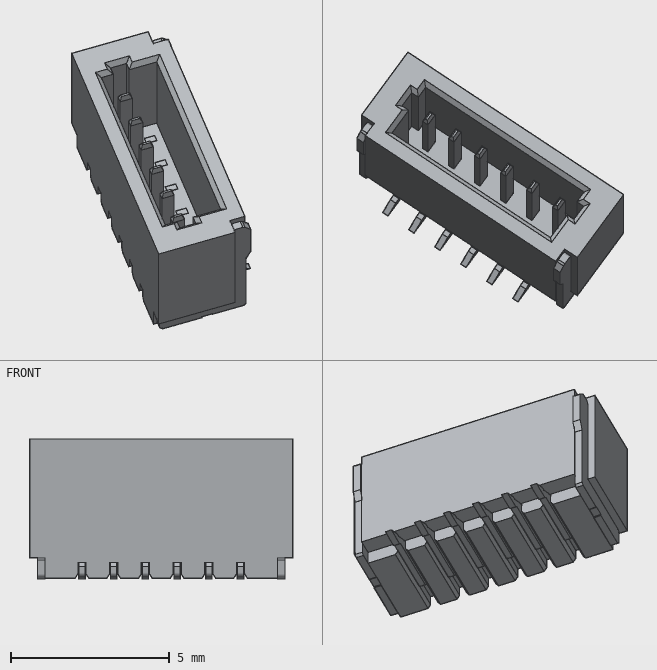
import cadquery as cq
import math

EIGHTH_TURN_RATIO = math.tan(math.pi / 8)

length = 8.3
height = 4.42
wing_depth = 2.56
back_y = 3.055
base_z = 0.025
core_half_length = 3.66
wing_base_z = 0.67
back_wall_base_z = 0.52

cavity_half_length = 3.05
cavity_front_y = 0.61
cavity_back_y = 2.46
cavity_floor_z = 1.0
key_half_length = 3.3
key_front_y = 1.005
key_back_y = 1.535
lead_in = 0.15
lead_in_depth = 0.15

contact_count = 6
pitch = 1.0
contact_width = 0.21
post_front_y = 1.005
post_back_y = 1.41
post_top_z = 3.8
tip_height = 0.17
tip_length = 0.07
tip_depth = 0.265
stub_front_y = 1.88
stub_back_y = 2.23
stub_rise = 0.02
contact_nose_y = 0.86
nose_bottom_z = 0.2
nose_top_z = 0.41
nose_radius = 0.125
foot_front_y = 2.955
foot_tip_y = 3.61
foot_top = [(3.19, 0.25), (3.01, 0.27)]

slot_width = 0.25
slot_flare = 0.09
slot_flare_height = 0.14

tab_thickness = 0.25
tab_back_y = 3.005
tab_front_y = 0.11
tab_heel_chamfer = 0.075
tab_toe_chamfer = 0.07
toe_round_z = 0.16
toe_slope_z = 0.075
tab_foot_back_y = 1.53
tab_groove_back_y = 1.88
tab_groove_z = 0.05
bulge_y = 3.16
bulge_bottom_z = 2.82
bulge_ramp_z = 2.5
bulge_top_z = 4.0
tab_top_z = 4.225
tab_slope_top = (2.97, 4.19)
tab_flat_back_y = 2.9
tab_round_y = 2.7
tab_slope_front_y = 2.63


def box(x_half, y0, y1, z0, z1):
    """Block centred on X = 0."""
    block = cq.Workplane("XY").box(2 * x_half, y1 - y0, z1 - z0, centered=(True, False, False))
    return block.translate((0, y0, z0))


def cavity_outline(z, margin):
    """Cavity outline with its key slots, grown outwards by the margin."""
    x_main = cavity_half_length + margin
    x_key = key_half_length + margin
    front = cavity_front_y - margin
    back = cavity_back_y + margin
    key_front = key_front_y - margin
    key_back = key_back_y + margin
    right_side = [
        (x_main, front),
        (x_main, key_front),
        (x_key, key_front),
        (x_key, key_back),
        (x_main, key_back),
        (x_main, back),
    ]
    left_side = [(-x, y) for x, y in reversed(right_side)]
    return cq.Workplane("XY").workplane(offset=z).polyline(right_side + left_side).close()


def make_cavity():
    well = cavity_outline(cavity_floor_z, 0).extrude(height - cavity_floor_z)
    lower = cavity_outline(height - lead_in_depth, 0).wire().val()
    upper = cavity_outline(height, lead_in).wire().val()
    mouth = cq.Solid.makeLoft([lower, upper], True)
    return well.union(cq.Workplane(mouth))


def make_slot(x):
    """Slot along Y with a flared mouth at the underside."""
    half = slot_width / 2
    mouth = half + slot_flare
    flare_top = base_z + slot_flare_height
    outline = [
        (x - mouth, base_z),
        (x - half, flare_top),
        (x - half, back_wall_base_z),
        (x + half, back_wall_base_z),
        (x + half, flare_top),
        (x + mouth, base_z),
    ]
    return cq.Workplane("XZ").polyline(outline).close().extrude(-back_y)


def make_contact(x):
    """Solder foot, short rear stub and mating post with a tapered tip."""
    slot_run_z = nose_bottom_z - nose_radius
    arc_y = contact_nose_y + nose_radius
    arc_mid = nose_radius * math.sqrt(0.5)
    foot = (
        cq.Workplane("YZ")
        .polyline([(foot_tip_y, 0)] + foot_top)
        .lineTo(wing_depth, back_wall_base_z)
        .lineTo(post_front_y, back_wall_base_z)
        .lineTo(contact_nose_y, nose_top_z)
        .lineTo(contact_nose_y, nose_bottom_z)
        .threePointArc((arc_y - arc_mid, nose_bottom_z - arc_mid), (arc_y, slot_run_z))
        .lineTo(foot_front_y - slot_run_z, slot_run_z)
        .lineTo(foot_front_y, 0)
        .close()
        .extrude(contact_width / 2, both=True)
    )
    half = contact_width / 2
    stub = box(half, stub_front_y, stub_back_y, back_wall_base_z, cavity_floor_z + stub_rise)
    shoulder_z = post_top_z - tip_height
    post = box(half, post_front_y, post_back_y, back_wall_base_z, shoulder_z)
    tip = (
        cq.Workplane("XY", origin=(0, (post_front_y + post_back_y) / 2, shoulder_z))
        .rect(contact_width, post_back_y - post_front_y)
        .workplane(offset=tip_height)
        .rect(tip_length, tip_depth)
        .loft(combine=True)
    )
    return foot.union(stub).union(post).union(tip).translate((x, 0, 0))


def make_housing():
    body = box(length / 2, 0, wing_depth, wing_base_z, height)
    body = body.union(box(core_half_length, 0, wing_depth, base_z, height))
    body = body.union(box(core_half_length, 0, back_y, back_wall_base_z, height))
    body = body.cut(make_cavity())
    contact_xs = [(i - (contact_count - 1) / 2) * pitch for i in range(contact_count)]
    for x in contact_xs:
        body = body.cut(make_slot(x))
    for x in contact_xs:
        body = body.union(make_contact(x))
    return body


def make_tab(side):
    """L-shaped plate behind and below a wing; side is -1 for left and 1 for right."""
    toe_slope_y = tab_front_y + (toe_round_z - toe_slope_z) * EIGHTH_TURN_RATIO
    top_slope_z = tab_top_z - (tab_round_y - tab_slope_front_y) * EIGHTH_TURN_RATIO
    plate = (
        cq.Workplane("YZ")
        .moveTo(wing_depth, wing_base_z)
        .lineTo(tab_front_y + tab_toe_chamfer, wing_base_z)
        .lineTo(tab_front_y, wing_base_z - tab_toe_chamfer)
        .lineTo(tab_front_y, toe_round_z)
        .tangentArcPoint((toe_slope_y, toe_slope_z), relative=False)
        .lineTo(toe_slope_y + toe_slope_z, 0)
        .lineTo(tab_foot_back_y, 0)
        .lineTo(tab_foot_back_y, tab_groove_z)
        .lineTo(tab_groove_back_y, tab_groove_z)
        .lineTo(tab_groove_back_y, base_z)
        .lineTo(tab_back_y - tab_heel_chamfer, base_z)
        .lineTo(tab_back_y, base_z + tab_heel_chamfer)
        .lineTo(tab_back_y, bulge_ramp_z)
        .lineTo(bulge_y, bulge_bottom_z)
        .lineTo(bulge_y, bulge_top_z)
        .lineTo(*tab_slope_top)
        .lineTo(tab_flat_back_y, tab_top_z)
        .lineTo(tab_round_y, tab_top_z)
        .tangentArcPoint((tab_slope_front_y, top_slope_z), relative=False)
        .lineTo(wing_depth, top_slope_z - (tab_slope_front_y - wing_depth))
        .close()
        .extrude(tab_thickness / 2, both=True)
    )
    return plate.translate((side * (core_half_length + tab_thickness / 2), 0, 0))


housing = make_housing()
solder_tabs = [make_tab(side) for side in (-1, 1)]

result = cq.Compound.makeCompound([housing.val(), *[tab.val() for tab in solder_tabs]])